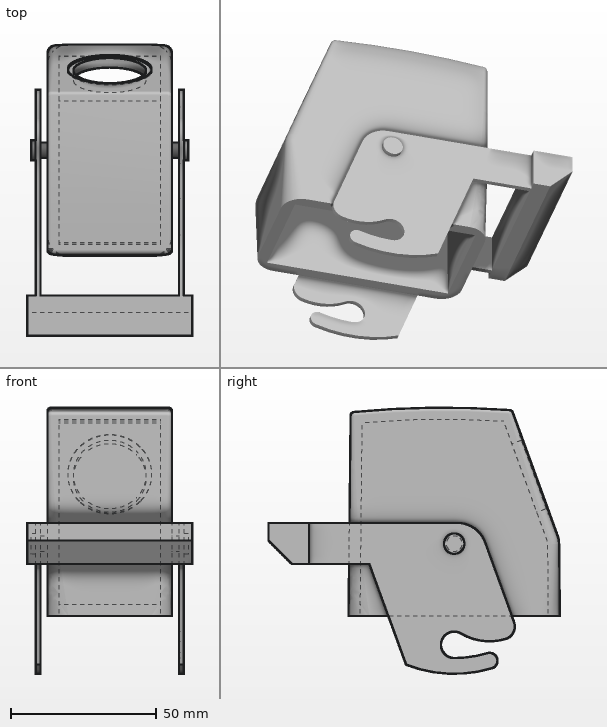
import cadquery as cq
import math


overall_length = 100.5

hood_width = 43.0
hood_length = 73.0
hood_height = 72.0
wall = 4.0
draft = math.radians(0.6)
slope = math.radians(20)
knee_height = 26.3
knee_radius = 9.0
crown_radius = 311.5
crown_y = -3.9
bottom_corner_radius = 7.3
knee_corner_radius = 3.0
top_corner_radius = 1.5
front_corner_spans = 4
front_corner_taper = 2.2
top_fillet = 1.4

entry_radius = 12.6
entry_seat_radius = 14.5
entry_seat_depth = 0.5
entry_height = 49.0

plate_thickness = 1.7
plate_outer_x = 25.5
arm_top = 32.2
arm_bottom = 18.0
arm_fillet = 10.0
pivot_height = 25.0
slot_height = -9.8
slot_radius = 4.5
hook_radius = 44.9
hook_tip_angle = math.radians(16.8)
front_edge_y = -29.2
lobe_y = 12.2
lobe_z = 10.5
lobe_tip_radius = 4.5
lobe_tip_angle = math.radians(16.9)

bar_width = 57.0
bar_front_y = hood_length / 2 - overall_length
bar_depth = 14.0
bar_back_y = bar_front_y + bar_depth
bar_chamfer = 8.0

pin_radius = 2.7
pin_head_radius = 3.5
pin_head_thickness = 1.6

half_width = hood_width / 2
half_length = hood_length / 2
overrun = 1.0


def front_wall_y(z):
    return -half_length + z * math.tan(draft)


def back_wall_y(z):
    if z < knee_height:
        return half_length - z * math.tan(draft)
    knee_y = half_length - knee_height * math.tan(draft)
    return knee_y - (z - knee_height) * math.tan(slope)


def polar(y, z, radius, angle):
    """Point at a radius from (y, z), with the angle measured from +Y towards +Z."""
    return (y + radius * math.cos(angle), z + radius * math.sin(angle))


def extrude_yz(sketch, x_start, thickness):
    return sketch.extrude(thickness).translate((x_start, 0, 0))



knee_bend = slope - draft
knee_setback = knee_radius * math.tan(knee_bend / 2)
knee_low_z = knee_height - knee_setback * math.cos(draft)
knee_high_z = knee_height + knee_setback * math.cos(slope)
knee_center = polar(back_wall_y(knee_low_z), knee_low_z, -knee_radius, draft)


def hood_prism(width, inset):
    """Side outline of the hood, moved inwards by the inset and extruded across the width."""
    top = hood_height + overrun
    outline = (
        cq.Workplane("YZ")
        .moveTo(front_wall_y(0), 0)
        .lineTo(half_length, 0)
        .lineTo(back_wall_y(knee_low_z), knee_low_z)
        .threePointArc(
            polar(knee_center[0], knee_center[1], knee_radius, (draft + slope) / 2),
            (back_wall_y(knee_high_z), knee_high_z),
        )
        .lineTo(back_wall_y(top), top)
        .lineTo(front_wall_y(top), top)
        .close()
    )
    if inset:
        outline = outline.offset2D(-inset, "intersection")
    prism = extrude_yz(outline, -width / 2, width)
    crown = (
        cq.Workplane("YZ")
        .center(crown_y, hood_height - crown_radius)
        .circle(crown_radius - inset)
    )
    return prism.intersect(extrude_yz(crown, -width / 2, width))


def front_corner_radius(z):
    """Front corner radius, shrinking quickly above the rim and slowly near the crown."""
    remaining = max(0, 1 - z / hood_height)
    shrinkage = bottom_corner_radius - top_corner_radius
    return top_corner_radius + shrinkage * remaining**front_corner_taper


def back_corner_radius(z):
    """Back corner radius, shrinking evenly up to the knee round and evenly above it."""
    if z < knee_low_z:
        share = z / knee_low_z
        return bottom_corner_radius + (knee_corner_radius - bottom_corner_radius) * share
    share = max(0, z - knee_high_z) / (hood_height - knee_high_z)
    return knee_corner_radius + (top_corner_radius - knee_corner_radius) * share


def corner_section(y, z, radius, face_y, face_z):
    """Waste outside a rounded corner, square to the +X corner edge at (y, z).

    (face_y, face_z) is the outward direction of the end wall.
    """
    plane = cq.Plane(origin=(half_width, y, z), xDir=(1, 0, 0), normal=(0, -face_z, face_y))
    middle = -radius * (1 - math.sqrt(0.5))
    return (
        cq.Workplane(plane)
        .moveTo(-radius, 0)
        .threePointArc((middle, middle), (0, -radius))
        .lineTo(overrun, -radius)
        .lineTo(overrun, overrun)
        .lineTo(-radius, overrun)
        .close()
    )


def corner_loft(wall_y, radius_at, z_low, z_high, face_y, face_z, spans):
    wires = []
    for step in range(spans + 1):
        z = z_low + (z_high - z_low) * step / spans
        section = corner_section(wall_y(z), z, radius_at(z), face_y, face_z)
        wires.append(section.val())
    return cq.Workplane(cq.Solid.makeLoft(wires))


def corner_waste():
    """Material to remove along the front and back corners on the +X side."""
    low = -overrun
    high = hood_height + overrun
    lean = (math.cos(draft), math.sin(draft))
    tilt = (math.cos(slope), math.sin(slope))
    front = corner_loft(front_wall_y, front_corner_radius, low, high, -lean[0], lean[1], front_corner_spans)
    back_low = corner_loft(back_wall_y, back_corner_radius, low, knee_low_z, *lean, 1)
    back_high = corner_loft(back_wall_y, back_corner_radius, knee_high_z, high, *tilt, 1)
    knee_start = corner_section(back_wall_y(knee_low_z), knee_low_z, knee_corner_radius, *lean)
    knee = knee_start.revolve(math.degrees(knee_bend), (0, -knee_radius), (1, -knee_radius))
    return [front, back_low, knee, back_high]


def make_hood():
    hood = hood_prism(hood_width, 0)
    for waste in corner_waste():
        hood = hood.cut(waste).cut(waste.mirror("YZ"))
    return hood.faces(">Z").edges().fillet(top_fillet)


def cut_cavity(body):
    """Hollow the hood, leaving the walls and crown, and open it through the rim."""
    cavity = hood_prism(hood_width - 2 * wall, wall)
    rim_opening = cavity.translate((0, 0, -wall))
    return body.cut(cavity).cut(rim_opening)


def cut_cable_entry(body):
    """Bore the sloped back wall square to its face, with a shallow seat around the bore."""
    plane = cq.Plane(
        origin=(0, back_wall_y(entry_height), entry_height),
        xDir=(1, 0, 0),
        normal=(0, math.cos(slope), math.sin(slope)),
    )
    bore = cq.Workplane(plane).workplane(offset=-wall - overrun)
    bore = bore.circle(entry_radius).extrude(wall + 2 * overrun)
    seat = cq.Workplane(plane).workplane(offset=-entry_seat_depth)
    seat = seat.circle(entry_seat_radius).extrude(entry_seat_depth + overrun)
    return body.cut(bore).cut(seat)



def lever_outline():
    """Side outline of one lever plate, with its hook around the locking slot."""
    down = -math.pi / 2

    lobe_to_slot = math.atan2(slot_height - lobe_z, -lobe_y)
    lobe_radius = math.hypot(lobe_y, lobe_z - slot_height) - slot_radius
    lobe_end = polar(lobe_y, lobe_z, lobe_radius, lobe_to_slot)
    lobe_bottom = polar(lobe_y, lobe_z, lobe_radius, down)

    tip_direction = down + lobe_tip_angle
    tip = polar(lobe_y, lobe_z, lobe_radius - lobe_tip_radius, tip_direction)
    tip_start = polar(*tip, lobe_tip_radius, slope)
    tip_middle = polar(*tip, lobe_tip_radius, (slope + tip_direction) / 2)
    tip_end = polar(*tip, lobe_tip_radius, tip_direction)

    corner_y = tip_start[0] - (arm_top - tip_start[1]) * math.tan(slope)
    setback = arm_fillet * math.tan((math.pi / 2 - slope) / 2)
    arm_round = (corner_y - setback, arm_top - arm_fillet)
    round_middle = polar(*arm_round, arm_fillet, (math.pi / 2 + slope) / 2)
    round_end = polar(*arm_round, arm_fillet, slope)

    inner_radius = pivot_height - slot_height + slot_radius
    tip_radius = (hook_radius - inner_radius) / 2
    hook_angle = down + hook_tip_angle
    hook_tip = polar(0, pivot_height, inner_radius + tip_radius, hook_angle)
    hook_inner = polar(0, pivot_height, inner_radius, hook_angle)
    hook_outer = polar(0, pivot_height, hook_radius, hook_angle)

    edge_distance = front_edge_y * math.cos(slope) + (arm_bottom - pivot_height) * math.sin(slope)
    front_angle = slope - math.acos(edge_distance / hook_radius)
    front_foot = polar(0, pivot_height, hook_radius, front_angle)

    return (
        cq.Workplane("YZ")
        .moveTo(bar_back_y, arm_top)
        .lineTo(arm_round[0], arm_top)
        .threePointArc(round_middle, round_end)
        .lineTo(*tip_start)
        .threePointArc(tip_middle, tip_end)
        .threePointArc(lobe_bottom, lobe_end)
        .threePointArc((-slot_radius, slot_height), (0, slot_height - slot_radius))
        .threePointArc(polar(0, pivot_height, inner_radius, down + hook_tip_angle / 2), hook_inner)
        .threePointArc(polar(*hook_tip, tip_radius, hook_angle + math.pi / 2), hook_outer)
        .threePointArc((0, pivot_height - hook_radius), front_foot)
        .lineTo(front_edge_y, arm_bottom)
        .lineTo(bar_back_y, arm_bottom)
        .close()
    )


def make_bar():
    profile = (
        cq.Workplane("YZ")
        .moveTo(bar_back_y, arm_top)
        .lineTo(bar_front_y, arm_top)
        .lineTo(bar_front_y, arm_bottom + bar_chamfer)
        .lineTo(bar_front_y + bar_chamfer, arm_bottom)
        .lineTo(bar_back_y, arm_bottom)
        .close()
    )
    return extrude_yz(profile, -bar_width / 2, bar_width)


def pin_cylinder(radius, x_start, x_end):
    circle = cq.Workplane("YZ").center(0, pivot_height).circle(radius)
    return extrude_yz(circle, x_start, x_end - x_start)


def make_lever_side():
    """Plate and headed pivot pin on the +X side."""
    plate = extrude_yz(lever_outline(), plate_outer_x - plate_thickness, plate_thickness)
    shank = pin_cylinder(pin_radius, half_width - wall / 2, plate_outer_x)
    head = pin_cylinder(pin_head_radius, plate_outer_x, plate_outer_x + pin_head_thickness)
    return plate.union(shank).union(head)


hood = cut_cable_entry(cut_cavity(make_hood()))
lever_side = make_lever_side()
result = hood.union(make_bar()).union(lever_side).union(lever_side.mirror("YZ"))